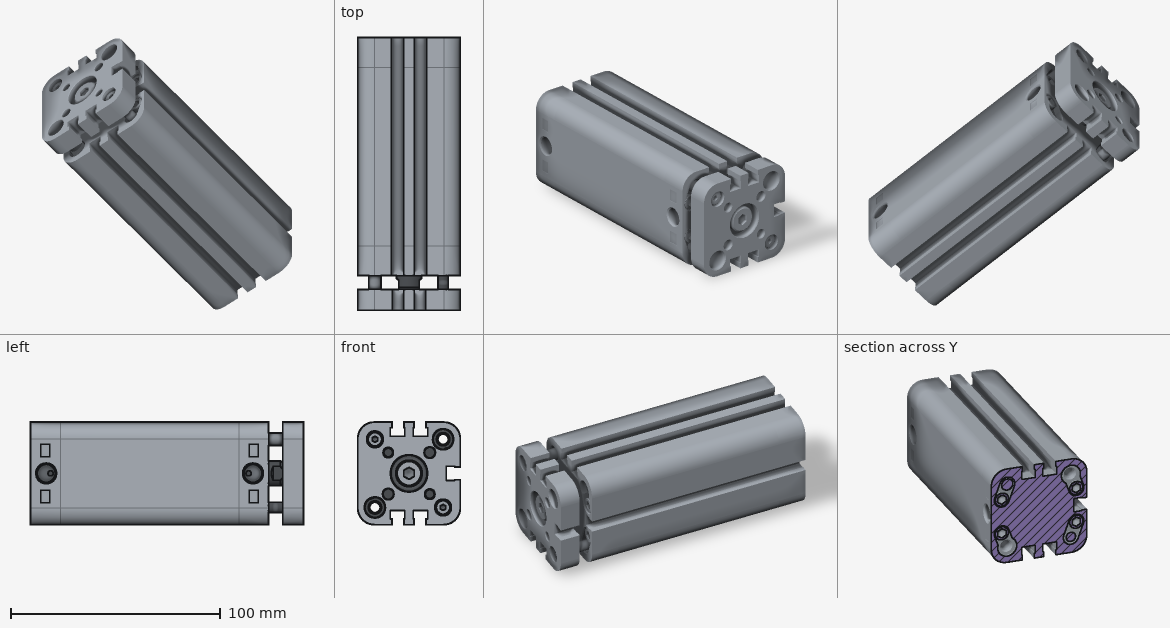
import cadquery as cq
import math


width = 49.0
corner_radius = 8.0
total_length = 130.2
plate_thickness = 10.0
plate_gap = 6.6
cap_length = 14.2
body_front = plate_thickness + plate_gap
body_length = total_length - body_front
barrel_length = body_length - 2 * cap_length
half_width = width / 2

slot_pitch = 10.95
slot_width = 6.7
slot_depth = 6.7
slot_lip = 2.75
slot_mouth = 5.95
plate_mouth_inset = 0.4

corner_offset = 16.25
rod_corners = [(-corner_offset, corner_offset), (corner_offset, -corner_offset)]
open_corners = [(corner_offset, corner_offset), (-corner_offset, -corner_offset)]
access_diameter = 9.5
access_chamfer_diameter = 10.1
mount_diameter = 4.92
mount_chamfer_diameter = 6.32

guide_diameters = [6.0, 5.0]
rod_screw_bore = 8.0
rod_screw_head = 7.0
rod_screw_sink = 1.6
rod_screw_bore_depth = 4.5
rod_screw_chamfer = 0.3
rod_screw_hex = 2.5
rod_screw_hex_depth = 1.5
socket_cone_slope = 0.6

piston_diameter = 12.0
piston_flats = 10.0
piston_collar_length = 2.2
piston_taper_length = 1.1
piston_taper_depth = 0.6
center_bore = 17.2
center_bore_chamfer = 0.3
center_bore_depth = 5.0
center_head = 12.7
center_head_chamfer = 0.7
center_sink = 1.5
center_hex = 5.0
center_hex_depth = 1.5

plate_hole_offset = 9.9
thread_diameter = 4.13
thread_chamfer_diameter = 5.0
pin_diameter = 5.0
pin_chamfer_diameter = 5.5

pocket_diameter = 7.5
pocket_mouth_diameter = 8.57
pocket_depth = 3.0
cap_screw_x = 19.0
cap_screw_z = 8.8
cap_screw_head = 7.0
cap_screw_sink = 0.6
cap_screw_hex = 4.0
cap_screw_hex_depth = 2.0

port_inset = 7.5
port_diameter = 8.57
port_chamfer_diameter = 9.9
port_depth = 8.0
duct_diameter = 2.5
duct_offset = 2.1
duct_depth = 2.0

label_length = 4.4
label_height = 6.0
label_offset = 11.0
label_outset = 0.4
label_depth = 0.2


def hex_circumscribed(across_flats):
    return across_flats * 2 / 3 ** 0.5


def cylinder(diameter, x, z, y_start, length):
    """Round bar parallel to Y starting at y_start."""
    return cq.Workplane(cq.Solid.makeCylinder(
        diameter / 2, length, cq.Vector(x, y_start, z), cq.Vector(0, 1, 0)))


def cone(start_diameter, end_diameter, x, z, y_start):
    """45 degree cone parallel to Y, used for chamfers."""
    length = abs(start_diameter - end_diameter) / 2
    return cq.Workplane(cq.Solid.makeCone(
        start_diameter / 2, end_diameter / 2, length,
        cq.Vector(x, y_start, z), cq.Vector(0, 1, 0)))


def chamfered_hole(block, diameter, mouth_diameter, x, z, y_start, length):
    """Cut a hole along +Y with a chamfer at its mouth."""
    block = block.cut(cylinder(diameter, x, z, y_start, length), clean=False)
    return block.cut(cone(mouth_diameter, diameter, x, z, y_start), clean=False)


def box(x_range, y_range, z_range):
    size = [high - low for low, high in (x_range, y_range, z_range)]
    corner = (x_range[0], y_range[0], z_range[0])
    return cq.Workplane("XY").box(*size, centered=False).translate(corner)


def hex_socket(across_flats, x, z, y_start, depth):
    """Hexagonal socket with two corners pointing up and down and a conical bottom."""
    hexagon_diameter = hex_circumscribed(across_flats)
    cone_height = hexagon_diameter / 2 * socket_cone_slope
    prism = (
        cq.Workplane("XZ", origin=(x, y_start, z))
        .transformed(rotate=(0, 0, 90))
        .polygon(6, hexagon_diameter)
        .extrude(-depth - cone_height)
    )
    tip = cq.Workplane(cq.Solid.makeCone(
        hexagon_diameter / 2, 0, cone_height,
        cq.Vector(x, y_start + depth, z), cq.Vector(0, 1, 0)))
    blank = cylinder(hexagon_diameter, x, z, y_start, depth).union(tip)
    return prism.intersect(blank)


def slot(mouth_low, mouth_high, channel_center, y_start, length):
    """T-slot cutter opening on the +Z face."""
    y_range = (y_start, y_start + length)
    channel = box(
        (channel_center - slot_width / 2, channel_center + slot_width / 2), y_range,
        (half_width - slot_depth, half_width - slot_lip))
    mouth = box((mouth_low, mouth_high), y_range, (half_width - slot_lip, half_width))
    return channel.union(mouth)


def rounded_block(y_start, length):
    return (
        cq.Workplane("XZ", origin=(0, y_start, 0))
        .rect(width, width)
        .extrude(-length)
        .edges("|Y")
        .fillet(corner_radius)
    )


def cut_slots(block, y_start, length, mouth_inset=0.0):
    """Cut two slots above, two below and one on the +X side."""
    center = slot_pitch / 2
    half_mouth = slot_mouth / 2
    upper = slot(center - half_mouth, center + half_mouth - mouth_inset, center, y_start, length)
    side = slot(-half_mouth, half_mouth, 0, y_start, length)
    for cutter in (upper, upper.mirror("XY")):
        block = block.cut(cutter, clean=False).cut(cutter.mirror("YZ"), clean=False)
    return block.cut(side.rotate((0, 0, 0), (0, 1, 0), 90), clean=False)


def sunk_screw(x, z, bore, bore_chamfer, bore_depth, head, head_chamfer, sink):
    """Return the counterbore cutter and the screw head standing inside it."""
    cutter = cylinder(bore, x, z, 0, bore_depth)
    if bore_chamfer:
        cutter = cutter.union(cone(bore + 2 * bore_chamfer, bore, x, z, 0))
    screw = cylinder(head, x, z, sink, bore_depth - sink).faces("<Y").chamfer(head_chamfer)
    return cutter, screw


def add_rod_screws(plate):
    for x, z in rod_corners:
        cutter, screw = sunk_screw(
            x, z, rod_screw_bore, 0, rod_screw_bore_depth,
            rod_screw_head, rod_screw_chamfer, rod_screw_sink)
        screw = screw.cut(hex_socket(rod_screw_hex, x, z, rod_screw_sink, rod_screw_hex_depth))
        plate = plate.cut(cutter).union(screw)
    return plate


def add_center_screw(plate):
    cutter, screw = sunk_screw(
        0, 0, center_bore, center_bore_chamfer, center_bore_depth,
        center_head, center_head_chamfer, center_sink)
    socket = hex_socket(center_hex, 0, 0, center_sink, center_hex_depth)
    return plate.cut(cutter).union(screw.cut(socket))


def make_plate():
    plate = cut_slots(rounded_block(0, plate_thickness), 0, plate_thickness, plate_mouth_inset)
    for x, z in open_corners:
        plate = chamfered_hole(plate, access_diameter, access_chamfer_diameter, x, z, 0, plate_thickness)
    for side in (-1, 1):
        x = side * plate_hole_offset
        plate = chamfered_hole(plate, pin_diameter, pin_chamfer_diameter, x, x, 0, plate_thickness)
        plate = chamfered_hole(plate, thread_diameter, thread_chamfer_diameter, x, -x, 0, plate_thickness)
    return add_center_screw(add_rod_screws(plate))


def front_pocket():
    """Pocket cutter for the (+X, +Z) corner: two equal circles and the band tangent to both,
    with a chamfered mouth.
    """
    run_x = cap_screw_x - corner_offset
    run_z = cap_screw_z - corner_offset
    center = ((cap_screw_x + corner_offset) / 2, (cap_screw_z + corner_offset) / 2)
    distance = math.hypot(run_x, run_z)
    angle = math.degrees(math.atan2(run_z, run_x))
    face = cq.Workplane("XZ", origin=(0, body_front, 0)).center(*center)
    pocket = face.slot2D(distance + pocket_diameter, pocket_diameter, angle).extrude(-pocket_depth)
    chamfer = (pocket_mouth_diameter - pocket_diameter) / 2
    mouth = face.slot2D(distance + pocket_mouth_diameter, pocket_mouth_diameter, angle)
    return pocket.union(mouth.extrude(-chamfer, taper=45))


def add_cap_screws(cap):
    """Cut the four front pockets, widen the open corners and stand a socket screw head in each pocket."""
    head_start = body_front + cap_screw_sink
    pocket = front_pocket()
    head = cylinder(cap_screw_head, cap_screw_x, cap_screw_z, head_start, pocket_depth - cap_screw_sink)
    socket = hex_socket(cap_screw_hex, cap_screw_x, cap_screw_z, head_start, cap_screw_hex_depth)
    upper = (pocket, head, socket)
    lower = tuple(shape.mirror("XY") for shape in upper)
    right_pair = [upper, lower]
    left_pair = [tuple(shape.mirror("YZ") for shape in shapes) for shapes in right_pair]
    pockets = right_pair + left_pair
    for pocket_cutter, _, _ in pockets:
        cap = cap.cut(pocket_cutter)
    for x, z in open_corners:
        cap = cap.cut(cylinder(access_diameter, x, z, body_front, pocket_depth))
    for _, screw_head, socket_cutter in pockets:
        cap = cap.union(screw_head).cut(socket_cutter)
    return cap


def cut_port(cap, port_y, inward):
    """Air port at port_y; inward (+1 or -1) is the direction to the barrel."""
    face = cq.Workplane("YZ", origin=(-half_width, port_y, 0))
    bore = face.circle(port_diameter / 2).extrude(port_depth)
    lead_in = cq.Workplane(cq.Solid.makeCone(
        port_chamfer_diameter / 2, port_diameter / 2, (port_chamfer_diameter - port_diameter) / 2,
        cq.Vector(-half_width, port_y, 0), cq.Vector(1, 0, 0)))
    duct = face.center(inward * duct_offset, 0).circle(duct_diameter / 2).extrude(port_depth + duct_depth)
    label_y = -inward * label_outset
    labels = (
        face.pushPoints([(label_y, label_offset), (label_y, -label_offset)])
        .rect(label_length, label_height)
        .extrude(label_depth)
    )
    return cap.cut(bore).cut(lead_in).cut(duct).cut(labels)


def make_piston_rod():
    """Rod end with a tapered tip and two flats that run out on 45 degree ramps."""
    radius = piston_diameter / 2
    taper = cq.Workplane(cq.Solid.makeCone(
        radius - piston_taper_depth, radius, piston_taper_length,
        cq.Vector(0, plate_thickness, 0), cq.Vector(0, 1, 0)))
    straight_start = plate_thickness + piston_taper_length
    rod = taper.union(cylinder(piston_diameter, 0, 0, straight_start, body_front - straight_start))
    flat_x = piston_flats / 2
    flat_end = body_front - piston_collar_length
    flat = (
        cq.Workplane("XY")
        .moveTo(flat_x, plate_thickness)
        .lineTo(radius, plate_thickness)
        .lineTo(radius, flat_end + radius - flat_x)
        .lineTo(flat_x, flat_end)
        .close()
        .extrude(radius, both=True)
    )
    return rod.cut(flat).cut(flat.mirror("YZ"))


def make_body():
    """Two end caps and the barrel, with slots and mounting holes running through all three."""
    front_cap = add_cap_screws(rounded_block(body_front, cap_length))
    front_cap = cut_port(front_cap, body_front + port_inset, 1)
    barrel = rounded_block(body_front + cap_length, barrel_length)
    rear_cap = rounded_block(total_length - cap_length, cap_length)
    rear_cap = cut_port(rear_cap, total_length - port_inset, -1)

    body = front_cap.union(barrel, clean=False).union(rear_cap, clean=False)
    body = cut_slots(body, body_front, body_length)
    floor = body_front + pocket_depth
    for x, z in open_corners:
        body = chamfered_hole(
            body, mount_diameter, mount_chamfer_diameter, x, z, floor, total_length - floor)
    return body


result = make_plate().union(make_piston_rod(), clean=False).union(make_body(), clean=False)
for (x, z), diameter in zip(rod_corners, guide_diameters):
    guide_rod = cylinder(diameter, x, z, plate_thickness, plate_gap + pocket_depth)
    result = result.union(guide_rod, clean=False)